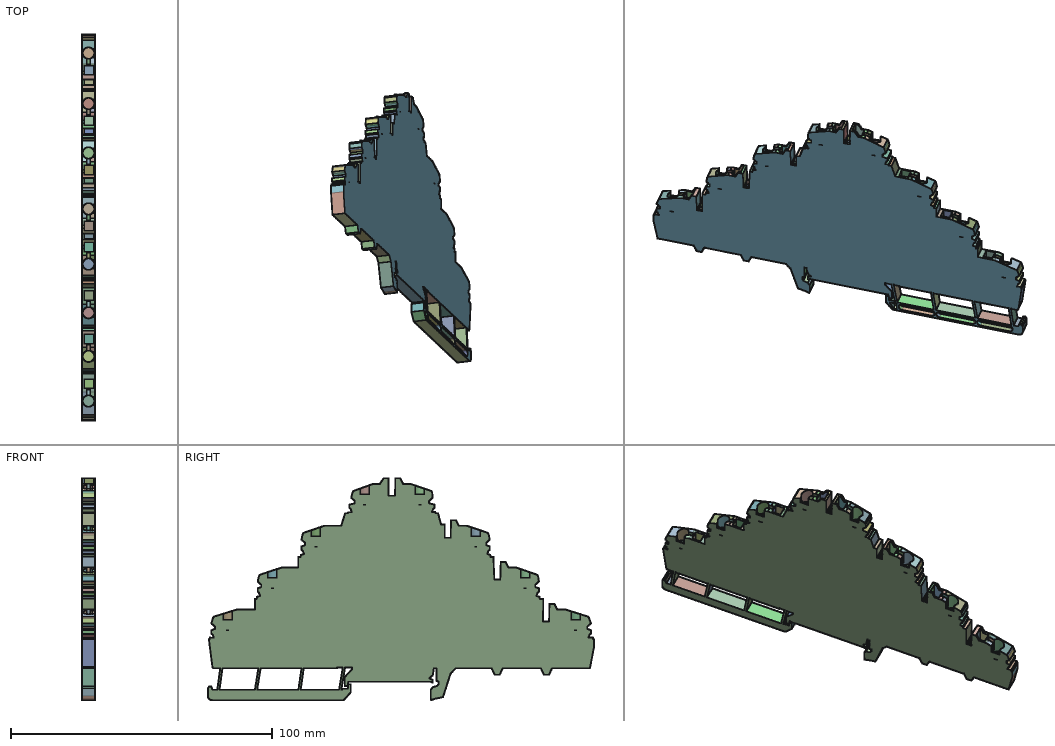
import cadquery as cq


WIDTH = 5.1
LENGTH = 147.84
HEIGHT = 84.98
LEFT_FACE = -WIDTH / 2
RIGHT_FACE = WIDTH / 2
Y_END = LENGTH / 2
TOP_Z = HEIGHT / 2
BOTTOM_Z = -HEIGHT / 2

STOREY_STEP = 16.02
HOUSING_BOTTOM_Z = -30.3
RAIL_FACE_Z = -35.45

FLAT_DROP = 2.15
CORNER_DROP = 4.9
CORNER_CHAMFER_Y = 0.35
CORNER_CHAMFER_Z = 0.65
SLOT_DROP = 6.7
FACE_END_DROP = 7.5
NOTCH_MOUTH_DROP = 8.0
UPPER_NOTCH_DROPS = (8.75, 9.6)
TOOTH_DROPS = (10.1, 11.4)
LOWER_NOTCH_DROPS = (11.8, 13.0)
NOTCH_MOUTH_DEPTH = 0.55
UPPER_NOTCH_DEPTH = 1.35
LOWER_NOTCH_DEPTHS = (0.5, 0.95)
LIP_LEAN = 0.15

SLOT_WIDTH = 1.95
BUMP_TOP = 1.95
SLOT_WALL_LEAN = 0.15
INNER_WALL_OFFSET = 0.4
TOP_SLOT_INNER_Y = -4.7

WIRE_HOLE_DIAMETER = 4.4
WIRE_HOLE_DEPTH = 8.0
WINDOW_LENGTH = 3.4
WINDOW_DEPTH = 4.0
SQUARE_SIZE = 3.56
SQUARE_X = 0.22
SQUARE_DEPTH = 8.0
HOLE_TO_SQUARE = 6.57
KEYWAY_WIDTH = 1.34
KEYWAY_GAP = 0.45
KEYWAY_DEPTH = 6.0
SLOT_POCKET_LENGTH = 1.9
SLOT_POCKET_DEPTH = 2.0

PLUS_STOREYS = [
    dict(slot=-2.2, flat=(0.85, 3.6), corner=12.0, face=12.15, lean=0.7, lip=(13.1, 12.9),
         ledge=(14.2, 13.4), hole=7.2),
    dict(slot=19.1, flat=(22.15, 25.2), corner=33.6, face=34.0, lean=0.0, lip=(34.2, 13.3),
         ledge=(35.4, 14.15), hole=28.6),
    dict(slot=38.1, flat=(41.1, 44.1), corner=52.5, face=52.8, lean=0.0, lip=(53.0, 13.3),
         ledge=(54.45, 14.15), hole=47.47),
    dict(slot=56.75, flat=(59.8, 62.8), corner=72.0, face=72.7, lean=0.0, lip=(73.4, 12.8),
         ledge=(Y_END, 13.5), hole=66.8),
]
MINUS_STOREYS = [
    dict(flat=(-8.1, -10.6), corner=-18.6, face=-19.1, lean=0.7, lip=(-20.2, 13.0),
         ledge=(-21.4, 13.4), hole=-13.94),
    dict(flat=(-22.9, -29.3), corner=-37.7, face=-38.1, lean=0.0, lip=(-38.3, 13.3),
         ledge=(-39.4, 14.15), hole=-32.55),
    dict(flat=(-39.4, -45.7), corner=-54.4, face=-54.9, lean=0.0, lip=(-55.1, 13.3),
         ledge=(-55.9, 14.15), hole=-49.21),
    dict(flat=(-55.9, -62.7), corner=-72.0, face=-72.6, lean=0.0, lip=(-73.2, 12.9),
         ledge=(-73.55, 13.6), hole=-66.3),
]
SHOULDER_Y = 15.35
SHOULDER_DROP = 17.7

END_WALL_FOOT_Z = -22.0
PLUS_BOTTOM_Y = 72.3
MINUS_WALL_FOOT = (-72.2, -29.7)
MINUS_BOTTOM_Y = -71.9

SPRING_CLIP = [
    (20.9, HOUSING_BOTTOM_Z), (19.0, -32.3), (16.1, -41.3), (12.9, -42.0), (11.6, BOTTOM_Z),
    (11.35, -42.0), (11.35, -38.5), (12.1, -37.5), (13.9, -36.9), (14.4, -36.2), (14.3, -35.3),
    (13.55, -35.1), (13.55, HOUSING_BOTTOM_Z), (12.6, HOUSING_BOTTOM_Z), (12.2, -32.9),
    (10.9, -34.1), (12.2, -34.7), (12.2, -35.8), (11.2, RAIL_FACE_Z),
]
FIXED_CLIP = [
    (-20.1, RAIL_FACE_Z), (-20.4, -37.0), (-21.6, -37.2), (-21.6, -33.6), (-18.8, -30.7),
    (-18.8, -30.0), (-24.4, -30.0), (-24.4, HOUSING_BOTTOM_Z),
]

BAR_TOP_Z = -38.4
BAR_START_Y = -19.2
BAR_END_Y = -Y_END
BAR_UNDER_START_Y = -21.9
BAR_BEVEL_Z = -39.5
BAR_CORNER_RADIUS = 1.7
BAR_FIRST_WALL = [(BAR_START_Y, -36.3), (-20.2, -36.3), (-20.4, -38.0), (-22.5, -38.0)]
BAR_LAST_WALL = [(-72.1, BAR_TOP_Z), (-72.6, -37.2), (-73.4, -37.2), (BAR_END_Y, -37.9)]
RIB_TOP_Y = (-21.85, -37.6, -54.1, -68.7)
RIB_BOTTOM_Y = (-23.3, -38.85, -55.5, -69.9)
RIB_THICKNESS = 0.95
RECESS_Z = (-41.6, -39.25)
RECESS_Y = ((-24.3, -38.65), (-39.35, -55.0), (-55.75, -69.9))
RECESS_DEPTH = 2.0
RIB_OVERLAP = 0.3
END_RECESS = [(-20.7, -39.3), (-23.5, -39.0), (-23.5, -41.7), (-22.2, -41.7)]

STUD_Y = (55.65, 36.8)
STUD_TOP_WIDTH = 4.3
STUD_TIP_WIDTH = 2.0
STUD_HEIGHT = 2.45

CLEARANCE = 4.0


def storey_top(index):
    return TOP_Z - index * STOREY_STEP


def slot_inner_wall(storey):
    return storey["slot"] - SLOT_WIDTH - INNER_WALL_OFFSET


def end_points(storey, top, side):
    """Outline of a storey's end from the sloped top down to its ledge; side is +1 or -1."""
    face = storey["face"]
    tooth = face + side * storey["lean"]
    upper_root = face - side * UPPER_NOTCH_DEPTH
    ledge_y, ledge_drop = storey["ledge"]
    lip_y, lip_drop = storey["lip"]
    corner = storey["corner"]
    return [
        (storey["flat"][1], top - FLAT_DROP),
        (corner - side * CORNER_CHAMFER_Y, top - CORNER_DROP),
        (corner, top - CORNER_DROP - CORNER_CHAMFER_Z),
        (face, top - FACE_END_DROP),
        (face - side * NOTCH_MOUTH_DEPTH, top - NOTCH_MOUTH_DROP),
        (upper_root, top - UPPER_NOTCH_DROPS[0]),
        (upper_root, top - UPPER_NOTCH_DROPS[1]),
        (tooth, top - TOOTH_DROPS[0]),
        (tooth, top - TOOTH_DROPS[1]),
        (tooth - side * LOWER_NOTCH_DEPTHS[0], top - LOWER_NOTCH_DROPS[0]),
        (tooth - side * LOWER_NOTCH_DEPTHS[1], top - LOWER_NOTCH_DROPS[1]),
        (lip_y, top - lip_drop),
        (lip_y + side * LIP_LEAN, top - ledge_drop),
        (ledge_y, top - ledge_drop),
    ]


def plus_side_points():
    """Upper outline of the +Y side, from the middle slot out to the lowest ledge."""
    points = []
    for index, storey in enumerate(PLUS_STOREYS):
        top = storey_top(index)
        slot = storey["slot"]
        bump_end = slot + BUMP_TOP
        points += [
            (slot - SLOT_WALL_LEAN, top - SLOT_DROP),
            (slot, top),
            (bump_end, top),
            (storey["flat"][0], top - FLAT_DROP),
        ]
        points += end_points(storey, top, 1)
        if index == 0:
            points.append((SHOULDER_Y, top - SHOULDER_DROP))
            points.append((slot_inner_wall(PLUS_STOREYS[1]), top - SHOULDER_DROP))
        if index + 1 < len(PLUS_STOREYS):
            points.append((slot_inner_wall(PLUS_STOREYS[index + 1]), storey_top(index + 1) - SLOT_DROP))
    return points


def minus_side_points():
    """Upper outline of the -Y side, from the middle out to the lowest ledge."""
    points = []
    for index, storey in enumerate(MINUS_STOREYS):
        top = storey_top(index)
        points.append((storey["flat"][0], top - FLAT_DROP))
        points += end_points(storey, top, -1)
    return points


def lower_points():
    """Underside from the +Y end to the -Y end: spring clip, rail face and fixed clip."""
    return [
        (Y_END, END_WALL_FOOT_Z),
        (PLUS_BOTTOM_Y, HOUSING_BOTTOM_Z),
        *SPRING_CLIP,
        *FIXED_CLIP,
        (MINUS_BOTTOM_Y, HOUSING_BOTTOM_Z),
        MINUS_WALL_FOOT,
    ]


def plate(points, thickness=WIDTH):
    """Prism with a (y, z) outline, growing from the -X face."""
    return cq.Workplane("YZ", origin=(LEFT_FACE, 0, 0)).polyline(points).close().extrude(thickness)


def housing():
    """Stepped body; its outline closes with the bump on the -Y side of the top marker slot."""
    top_bump = [
        (TOP_SLOT_INNER_Y - BUMP_TOP, TOP_Z),
        (TOP_SLOT_INNER_Y, TOP_Z),
        (TOP_SLOT_INNER_Y, TOP_Z - SLOT_DROP),
    ]
    return plate(plus_side_points() + lower_points() + minus_side_points()[::-1] + top_bump)


def stud(centre):
    """Tapered stud under the +Y half of the housing."""
    tip_z = HOUSING_BOTTOM_Z - STUD_HEIGHT
    return plate([
        (centre + STUD_TOP_WIDTH / 2, HOUSING_BOTTOM_Z),
        (centre + STUD_TIP_WIDTH / 2, tip_z),
        (centre - STUD_TIP_WIDTH / 2, tip_z),
        (centre - STUD_TOP_WIDTH / 2, HOUSING_BOTTOM_Z),
    ])


def marker_bar():
    """Bar under the -Y half, with an upturned wall at each end."""
    return (
        cq.Workplane("YZ", origin=(LEFT_FACE, 0, 0))
        .polyline(BAR_FIRST_WALL + [(BAR_FIRST_WALL[-1][0], BAR_TOP_Z)] + BAR_LAST_WALL)
        .lineTo(BAR_END_Y, BOTTOM_Z + BAR_CORNER_RADIUS)
        .radiusArc((BAR_END_Y + BAR_CORNER_RADIUS, BOTTOM_Z), -BAR_CORNER_RADIUS)
        .lineTo(BAR_UNDER_START_Y, BOTTOM_Z)
        .lineTo(BAR_START_Y, BAR_BEVEL_Z)
        .close()
        .extrude(WIDTH)
    )


def rib(top_y, bottom_y):
    """Thin leaning rib that carries the bar from the underside of the housing."""
    half = RIB_THICKNESS / 2
    top_z = HOUSING_BOTTOM_Z + RIB_OVERLAP
    bottom_z = BAR_TOP_Z - RIB_OVERLAP
    return plate([
        (top_y + half, top_z),
        (top_y - half, top_z),
        (bottom_y - half, bottom_z),
        (bottom_y + half, bottom_z),
    ])


def bar_recess(start_y, end_y):
    """Round-ended recess in the -X face of the bar."""
    return (
        cq.Workplane("YZ", origin=(LEFT_FACE, 0, 0))
        .center((start_y + end_y) / 2, sum(RECESS_Z) / 2)
        .slot2D(start_y - end_y, RECESS_Z[1] - RECESS_Z[0])
        .extrude(RECESS_DEPTH)
    )


def box_down(x, y, top, x_size, y_size, depth):
    """Box hanging below `top`, its upper end clear of the housing."""
    solid = cq.Workplane("XY").box(x_size, y_size, depth + CLEARANCE, centered=(True, True, False))
    return solid.translate((x, y, top - depth))


def wire_pockets(hole_y, flat_z, side):
    """Wire hole, its window in the +X face, the square tool pocket and the keyway between."""
    square_y = hole_y - side * HOLE_TO_SQUARE
    keyway_end = square_y + side * (SQUARE_SIZE / 2 + KEYWAY_GAP)
    hole = (
        cq.Workplane("XY", origin=(0, hole_y, flat_z - WIRE_HOLE_DEPTH))
        .circle(WIRE_HOLE_DIAMETER / 2)
        .extrude(WIRE_HOLE_DEPTH + CLEARANCE)
    )
    window = box_down(RIGHT_FACE / 2, hole_y, flat_z, RIGHT_FACE, WINDOW_LENGTH, WINDOW_DEPTH)
    square = box_down(SQUARE_X, square_y, flat_z, SQUARE_SIZE, SQUARE_SIZE, SQUARE_DEPTH)
    keyway = box_down(
        0, (hole_y + keyway_end) / 2, flat_z, KEYWAY_WIDTH, abs(hole_y - keyway_end), KEYWAY_DEPTH
    )
    return [hole, window, square, keyway]


def slot_pocket(slot_y, top):
    """Pocket sunk into the floor of a marker slot."""
    middle = slot_y - SLOT_WIDTH / 2 - SLOT_WALL_LEAN
    return box_down(SQUARE_X, middle, top - SLOT_DROP, SQUARE_SIZE, SLOT_POCKET_LENGTH, SLOT_POCKET_DEPTH)


def build():
    body = housing().union(marker_bar())
    for centre in STUD_Y:
        body = body.union(stud(centre))
    for top_y, bottom_y in zip(RIB_TOP_Y, RIB_BOTTOM_Y):
        body = body.union(rib(top_y, bottom_y))
    body = body.cut(plate(END_RECESS, RECESS_DEPTH))
    for start_y, end_y in RECESS_Y:
        body = body.cut(bar_recess(start_y, end_y))
    for side, storeys in ((1, PLUS_STOREYS), (-1, MINUS_STOREYS)):
        for index, storey in enumerate(storeys):
            for pocket in wire_pockets(storey["hole"], storey_top(index) - FLAT_DROP, side):
                body = body.cut(pocket)
    for index, storey in enumerate(PLUS_STOREYS):
        body = body.cut(slot_pocket(storey["slot"], storey_top(index)))
    return body


result = build()